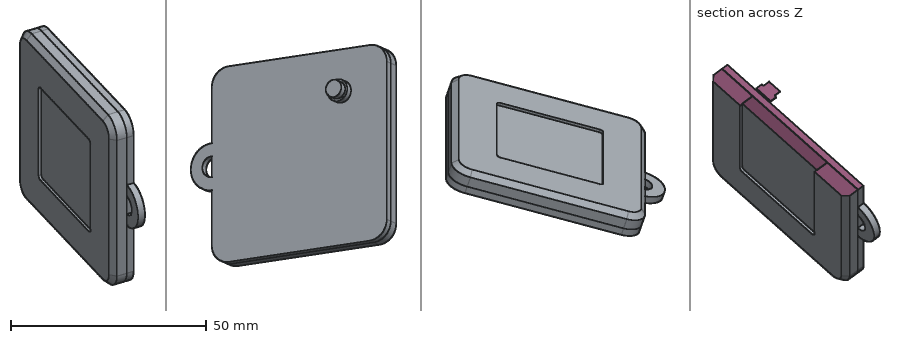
import cadquery as cq

OVERALL_LENGTH = 58.15
OVERALL_DEPTH = 10.7

CASE_SIDE = 51.9
CORNER_RADIUS = 5.0

LID_THICKNESS = 2.05
FRAME_THICKNESS = 4.35
EDGE_CHAMFER = 1.5

WINDOW_SIDE = 28.5
WINDOW_CORNER_RADIUS = 1.0
PANEL_SETBACK = 0.8

LUG_RADIUS = OVERALL_LENGTH - CASE_SIDE
LUG_HOLE_DIAMETER = 5.5

KNOB_FLANGE_DIAMETER = 5.8
KNOB_CAP_DIAMETER = 4.6
KNOB_STEP_HEIGHT = 2.0
KNOB_GAP = OVERALL_DEPTH - FRAME_THICKNESS - LID_THICKNESS - 2 * KNOB_STEP_HEIGHT
KNOB_X = -12.7
KNOB_Z = 14.55


def plane_at(y, x=0, z=0):
    """Workplane at the given point whose extrusions run toward +Y."""
    return cq.Workplane(cq.Plane(origin=(x, y, z), xDir=(1, 0, 0), normal=(0, 1, 0)))


def rounded_square(y, side, thickness, corner_radius):
    """Square slab with rounded corners, its front face at the given Y."""
    return plane_at(y).rect(side, side).extrude(thickness).edges("|Y").fillet(corner_radius)


def make_lid():
    """Flat rear plate with the key-ring lug in one piece."""
    plate = rounded_square(0, CASE_SIDE, LID_THICKNESS, CORNER_RADIUS)
    lug_center = CASE_SIDE / 2
    lug = plane_at(0, lug_center).circle(LUG_RADIUS).extrude(LID_THICKNESS)
    hole = (
        plane_at(0, lug_center)
        .circle(LUG_HOLE_DIAMETER / 2)
        .extrude(LID_THICKNESS)
        .cut(plate)
    )
    return plate.union(lug).cut(hole)


def make_panel():
    """Panel that fills the window up to its setback from the front face."""
    return rounded_square(
        PANEL_SETBACK - FRAME_THICKNESS,
        WINDOW_SIDE,
        FRAME_THICKNESS - PANEL_SETBACK,
        WINDOW_CORNER_RADIUS,
    )


def make_frame():
    """Front frame with a chamfered rim and a square window through it."""
    body = rounded_square(-FRAME_THICKNESS, CASE_SIDE, FRAME_THICKNESS, CORNER_RADIUS)
    body = body.faces("<Y").chamfer(EDGE_CHAMFER)
    window = rounded_square(-FRAME_THICKNESS, WINDOW_SIDE, FRAME_THICKNESS, WINDOW_CORNER_RADIUS)
    return body.cut(window)


def make_knob():
    """Flange just clear of the lid and a narrower cap behind it."""
    flange_y = LID_THICKNESS + KNOB_GAP
    cap_y = flange_y + KNOB_STEP_HEIGHT
    flange = plane_at(flange_y, KNOB_X, KNOB_Z).circle(KNOB_FLANGE_DIAMETER / 2).extrude(KNOB_STEP_HEIGHT)
    cap = plane_at(cap_y, KNOB_X, KNOB_Z).circle(KNOB_CAP_DIAMETER / 2).extrude(KNOB_STEP_HEIGHT)
    return flange.union(cap)


lid = make_lid()
frame = make_frame()
panel = make_panel()
knob = make_knob()

result = cq.Compound.makeCompound([lid.val(), frame.val(), panel.val(), knob.val()])